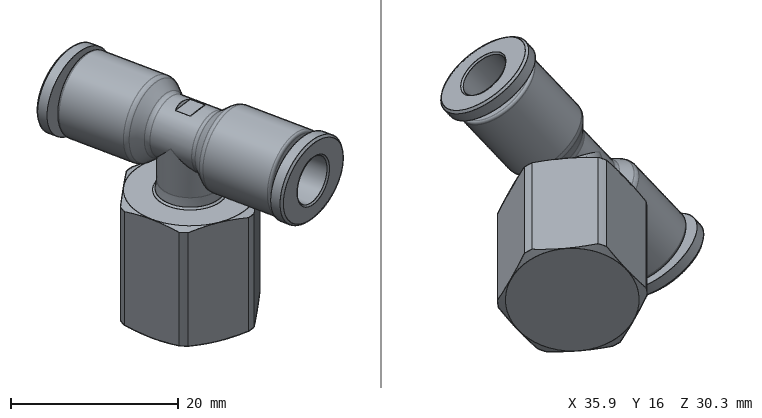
import cadquery as cq
import math


run_length = 35.9
run_radius = 4.02
socket_radius = 5.6
cone_inner_x = 3.4
cone_outer_x = 5.42
cone_blend_radius = 1.08
socket_rim_fillet = 0.35

collet_thickness = 1.65
collet_half_width = 6.5
collet_half_height = 5.53
collet_chamfer = 0.3
collet_gap = 0.75
stem_radius = 3.77
bore_radius = 3.12
bore_mouth_chamfer = 0.2

branch_radius = run_radius
flare_top_z = -6.45
flare_end_z = -7.7
flare_end_radius = 4.2
foot_radius = 4.5
nut_top_z = -7.9
nut_height = 16.8
nut_sides = 6
nut_across_flats = 16.0
nut_corner_radius = 8.95
nut_face_radius = 7.97
nut_chamfer_height = 0.35

recess_depth = 0.3
recess_floor_length = 2.2
recess_top_length = 2.62

run_half = run_length / 2
collet_inner_x = run_half - collet_thickness
socket_end_x = collet_inner_x - collet_gap
bore_floor_x = cone_outer_x
edge_margin = 0.05


def run_half_body():
    """Revolved half of the run: slim middle, blended cone and tube socket, towards +X."""
    body = (
        cq.Workplane("XY")
        .polyline([
            (0, 0),
            (0, run_radius),
            (cone_inner_x, run_radius),
            (cone_outer_x, socket_radius),
            (socket_end_x, socket_radius),
            (socket_end_x, 0),
        ])
        .close()
        .revolve(360, (0, 0, 0), (1, 0, 0))
    )

    def rims_between(x_low, x_high):
        reach = 2 * socket_radius
        box = cq.selectors.BoxSelector((x_low, -reach, -reach), (x_high, reach, reach), boundingbox=True)
        return body.edges(box).edges("%CIRCLE")

    body = rims_between(cone_inner_x - edge_margin, cone_outer_x + edge_margin).fillet(cone_blend_radius)
    return rims_between(socket_end_x - edge_margin, socket_end_x + edge_margin).fillet(socket_rim_fillet)


def collet():
    """Oval release collet on its round stem at the +X end."""
    stem = cq.Workplane("YZ", origin=(socket_end_x, 0, 0)).circle(stem_radius).extrude(collet_gap)
    flange = (
        cq.Workplane("YZ", origin=(collet_inner_x, 0, 0))
        .ellipse(collet_half_width, collet_half_height)
        .extrude(collet_thickness)
        .faces(">X")
        .edges()
        .chamfer(collet_chamfer)
    )
    return stem.union(flange)


def tube_bore():
    """Blind tube bore with a chamfered mouth, cut in from the +X end."""
    mouth_radius = bore_radius + bore_mouth_chamfer
    return (
        cq.Workplane("XY")
        .polyline([
            (bore_floor_x, 0),
            (bore_floor_x, bore_radius),
            (run_half - bore_mouth_chamfer, bore_radius),
            (run_half, mouth_radius),
            (run_half, 0),
        ])
        .close()
        .revolve(360, (0, 0, 0), (1, 0, 0))
    )


def branch():
    """Vertical branch that widens slightly where it stands on the nut."""
    return (
        cq.Workplane("XZ")
        .polyline([
            (0, 0),
            (branch_radius, 0),
            (branch_radius, flare_top_z),
            (flare_end_radius, flare_end_z),
            (foot_radius, nut_top_z),
            (0, nut_top_z),
        ])
        .close()
        .revolve(360, (0, 0, 0), (0, 1, 0))
    )


def nut():
    """Hex nut with rounded corners and both faces chamfered."""
    nut_bottom_z = nut_top_z - nut_height
    hexagon_diameter = nut_across_flats / math.cos(math.pi / nut_sides)
    hexagon = (
        cq.Workplane("XY", origin=(0, 0, nut_bottom_z))
        .polygon(nut_sides, hexagon_diameter)
        .extrude(nut_height)
    )
    turned_blank = (
        cq.Workplane("XZ")
        .polyline([
            (0, nut_bottom_z),
            (nut_face_radius, nut_bottom_z),
            (nut_corner_radius, nut_bottom_z + nut_chamfer_height),
            (nut_corner_radius, nut_top_z - nut_chamfer_height),
            (nut_face_radius, nut_top_z),
            (0, nut_top_z),
        ])
        .close()
        .revolve(360, (0, 0, 0), (0, 1, 0))
    )
    return hexagon.intersect(turned_blank)


def top_recess():
    """Shallow flat with sloping ends, cut across the top of the run."""
    floor_z = run_radius - recess_depth
    return (
        cq.Workplane("XZ")
        .polyline([
            (-recess_floor_length / 2, floor_z),
            (recess_floor_length / 2, floor_z),
            (recess_top_length / 2, run_radius),
            (-recess_top_length / 2, run_radius),
        ])
        .close()
        .extrude(run_radius, both=True)
    )


run_end = run_half_body().union(collet()).cut(tube_bore())
run = run_end.union(run_end.mirror("YZ"))
result = run.union(branch()).union(nut()).cut(top_recess())